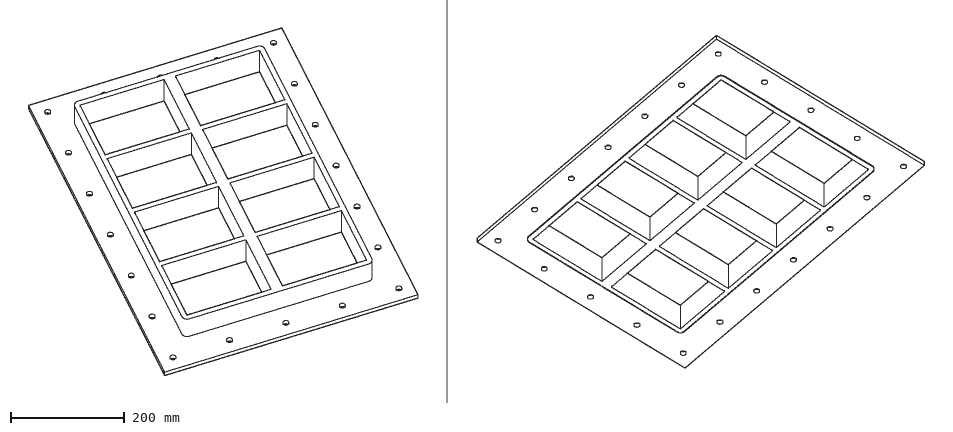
import cadquery as cq

flange_length = 652.0
flange_width = 479.0
flange_thickness = 10.0

flange_overhang = 60.0
frame_length = flange_length - 2 * flange_overhang
frame_width = flange_width - 2 * flange_overhang
frame_height = 60.0
frame_drop = 2.0
corner_radius = 10.0

columns = 4
rows = 2
wall = 10.0
center_rib = 21.5
window_length = (frame_length - (columns + 1) * wall) / columns
window_width = (frame_width - 2 * wall - center_rib) / rows

hole_diameter = 10.5
hole_margin = 26.0
holes_along_length = 7
holes_along_width = 5
hole_span_x = flange_length - 2 * hole_margin
hole_span_y = flange_width - 2 * hole_margin
hole_pitch_x = hole_span_x / (holes_along_length - 1)
hole_pitch_y = hole_span_y / (holes_along_width - 1)


def make_flange():
    """Flat rectangular plate with its underside at Z = 0."""
    return cq.Workplane("XY").box(
        flange_length, flange_width, flange_thickness, centered=(True, True, False)
    )


def make_frame():
    """Solid block with rounded upright corners, before the windows are cut."""
    return (
        cq.Workplane("XY", origin=(0, 0, -frame_drop))
        .rect(frame_length, frame_width)
        .extrude(frame_height)
        .edges("|Z")
        .fillet(corner_radius)
    )


def make_windows():
    """Grid of rectangular openings through the full frame height."""
    return (
        cq.Workplane("XY", origin=(0, 0, -frame_drop))
        .rarray(window_length + wall, window_width + center_rib, columns, rows)
        .rect(window_length, window_width)
        .extrude(frame_height)
    )


def hole_centers():
    """Bolt positions: full rows along both long edges, the rest along the short edges."""
    x_edge = hole_span_x / 2
    y_edge = hole_span_y / 2
    centers = []
    for side in (-1, 1):
        for i in range(holes_along_length):
            centers.append((-x_edge + i * hole_pitch_x, side * y_edge))
        for j in range(1, holes_along_width - 1):
            centers.append((side * x_edge, -y_edge + j * hole_pitch_y))
    return centers


def make_bolt_holes():
    """Plain cylinders through the flange."""
    return (
        cq.Workplane("XY")
        .pushPoints(hole_centers())
        .circle(hole_diameter / 2)
        .extrude(flange_thickness)
    )


result = make_flange().union(make_frame()).cut(make_windows()).cut(make_bolt_holes())